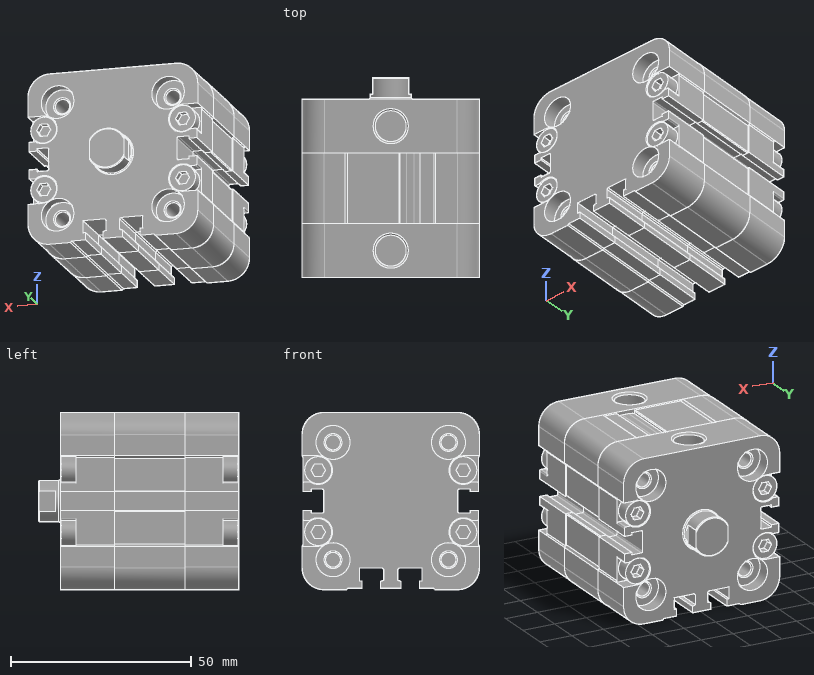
import cadquery as cq


width = 49.2
half = width / 2
cap_length = 15.0
barrel_length = 19.5
body_length = 2 * cap_length + barrel_length
cap_corner_radius = 6.3
barrel_corner_radius = 6.1
overshoot = 1.0

band_half_height = 12.57
cap_band_depth = 0.27
cap_band_slope = 0.45
barrel_band_depth = 0.6
barrel_band_slope = 0.7

slot_floor = 18.6
side_lip_inner = 22.0
side_mouth_half = 2.6
side_inner_half = 3.3
slot_corner_radius = 0.4
mouth_bevel = 0.25

bottom_relief_half = 12.3
bottom_relief_depth = 0.4
bottom_lip_inner = 22.1
bottom_mouth_near = 2.85
bottom_mouth_far = 7.9
bottom_inner_near = 1.95
bottom_inner_far = 8.65
rib_lip_bevel = 0.35

top_relief_depth = 0.4
top_relief_left = -12.0
top_relief_right = 12.0
top_relief_left_slope = 0.7
top_relief_right_slope = 0.45
groove_left = 2.6
groove_right = 8.15
groove_lip = 0.25
groove_crown_left = 4.4
groove_crown_right = 6.45
groove_crown_depth = 1.1
groove_edge_depth = 1.35
groove_mid_drop = 0.07

mount_x = 16.0
mount_z = 16.25
counterbore_diameter = 9.42
counterbore_depth = 4.35
mount_hole_diameter = 4.13
mount_chamfer_diameter = 4.92
mount_chamfer = (mount_chamfer_diameter - mount_hole_diameter) / 2

screw_x = 20.1
screw_z = 8.57
head_diameter = 7.5
head_setback = 0.25
head_clearance = 0.2
pocket_radius = head_diameter / 2 + head_clearance
pocket_depth = 4.4
ledge_z = 5.35
ledge_radius = 0.4
hex_across_flats = 3.5
hex_across_corners = hex_across_flats * 2 / 3 ** 0.5
hex_depth = 2.5

port_diameter = 8.57
port_chamfer_diameter = 9.73
port_chamfer = (port_chamfer_diameter - port_diameter) / 2
port_depth = 9.0

rod_diameter = 12.0
rod_end_diameter = 11.5
rod_projection = 6.0
rod_cone_length = 0.43
rod_tip_chamfer = 0.25
rod_flat_width = 10.0
rod_flat_length = 4.65


def along_y(start):
    """Sketch plane with local x = X and local y = Z; extrude by a negative length to go to +Y."""
    return cq.Workplane("XZ", origin=(0, start, 0))


def both_sides(shape):
    """The shape together with its mirror image across the plane X = 0."""
    return shape.union(shape.mirror("YZ"))


def four_corners(shape):
    """The shape repeated in all four quadrants of the XZ plane."""
    pair = both_sides(shape)
    return pair.union(pair.mirror("XY"))


def side_band(length, depth, slope):
    """Shallow cut along the -X side, with sloped edges."""
    outer = half + overshoot
    inner = half - depth
    points = [
        (-outer, band_half_height),
        (-half, band_half_height),
        (-inner, band_half_height - slope),
        (-inner, slope - band_half_height),
        (-half, -band_half_height),
        (-outer, -band_half_height),
    ]
    return along_y(0).polyline(points).close().extrude(-length)


def side_slot(length):
    """T-shaped sensor slot in the -X side."""
    mouth = along_y(0).center(-half, 0).rect(2 * (half - slot_floor), 2 * side_mouth_half).extrude(-length)
    inner_width = side_lip_inner - slot_floor
    inner = along_y(0).center(-(slot_floor + side_lip_inner) / 2, 0)
    inner = inner.rect(inner_width, 2 * side_inner_half).extrude(-length)
    inner = inner.edges("|Y and >X").fillet(slot_corner_radius)
    return mouth.union(inner)


def bottom_relief(length):
    """Shallow cut along the bottom, with 45 degree edges."""
    points = [
        (-bottom_relief_half - overshoot, -half - overshoot),
        (bottom_relief_half + overshoot, -half - overshoot),
        (bottom_relief_half - bottom_relief_depth, bottom_relief_depth - half),
        (bottom_relief_depth - bottom_relief_half, bottom_relief_depth - half),
    ]
    return along_y(0).polyline(points).close().extrude(-length)


def bottom_slot(length):
    """Sensor slot in the bottom on the +X side of the centre rib."""
    points = [
        (bottom_mouth_near, -half - overshoot),
        (bottom_mouth_near, -bottom_lip_inner - rib_lip_bevel / 2),
        (bottom_mouth_near - rib_lip_bevel, -bottom_lip_inner),
        (bottom_inner_near, rib_lip_bevel / 2 - bottom_lip_inner),
        (bottom_inner_near, -slot_floor - slot_corner_radius),
        (bottom_inner_near + slot_corner_radius, -slot_floor),
        (bottom_inner_far, -slot_floor),
        (bottom_inner_far, -bottom_lip_inner),
        (bottom_mouth_far, -bottom_lip_inner),
        (bottom_mouth_far, -half - overshoot),
    ]
    return along_y(0).polyline(points).close().extrude(-length)


def profile_block(length, corner_radius, band_depth, band_slope):
    """Rounded square bar with the side bands and all the sensor slots."""
    block = along_y(0).rect(width, width).extrude(-length).edges("|Y").fillet(corner_radius)
    block = block.cut(both_sides(side_band(length, band_depth, band_slope)))
    block = block.cut(both_sides(side_slot(length)))
    block = block.cut(bottom_relief(length))
    return block.cut(both_sides(bottom_slot(length)))


def mount_hole():
    """Counterbored hole through the cap in the +X +Z corner."""
    center = along_y(0).center(mount_x, mount_z)
    counterbore = center.circle(counterbore_diameter / 2).extrude(-counterbore_depth)
    bore = center.circle(mount_hole_diameter / 2).extrude(-cap_length)
    chamfer = cq.Solid.makeCone(
        mount_chamfer_diameter / 2,
        mount_hole_diameter / 2,
        mount_chamfer,
        cq.Vector(mount_x, counterbore_depth, mount_z),
        cq.Vector(0, 1, 0),
    )
    return counterbore.union(bore).union(cq.Workplane(chamfer))


def screw_pocket():
    """Recess for one screw head, open to the +X side, with a rounded outer edge on its ledge."""
    around_head = along_y(0).center(screw_x, screw_z).circle(pocket_radius).extrude(-pocket_depth)
    face_x = half - cap_band_depth
    outer_x = half + overshoot
    opening = (
        along_y(0)
        .moveTo(screw_x, ledge_z)
        .lineTo(face_x - ledge_radius, ledge_z)
        .radiusArc((face_x, ledge_z - ledge_radius), ledge_radius)
        .lineTo(outer_x, ledge_z - ledge_radius)
        .lineTo(outer_x, band_half_height)
        .lineTo(screw_x, band_half_height)
        .close()
        .extrude(-pocket_depth)
    )
    return around_head.union(opening)


def screw_head():
    """Round head with a hexagon socket, standing on the floor of its pocket."""
    center = along_y(head_setback).center(screw_x, screw_z)
    head = center.circle(head_diameter / 2).extrude(head_setback - pocket_depth)
    socket = center.polygon(6, hex_across_corners).extrude(-hex_depth)
    return head.cut(socket)


def air_port():
    """Chamfered blind port going down from the top face."""
    top = cq.Workplane("XY", origin=(0, cap_length / 2, half))
    bore = top.circle(port_diameter / 2).extrude(-port_depth)
    chamfer = cq.Solid.makeCone(
        port_chamfer_diameter / 2,
        port_diameter / 2,
        port_chamfer,
        cq.Vector(0, cap_length / 2, half),
        cq.Vector(0, 0, -1),
    )
    return bore.union(cq.Workplane(chamfer))


def make_cap():
    """End cap in the rear position, with its outer face at y = 0."""
    cap = profile_block(cap_length, cap_corner_radius, cap_band_depth, cap_band_slope)
    cap = cap.cut(four_corners(screw_pocket()))
    cap = cap.union(four_corners(screw_head()))
    cap = cap.cut(four_corners(mount_hole()))
    return cap.cut(air_port())


def top_relief():
    """Shallow cut with sloped edges along the top of the barrel."""
    floor = half - top_relief_depth
    points = [
        (top_relief_left - top_relief_left_slope, half),
        (top_relief_left, floor),
        (top_relief_right, floor),
        (top_relief_right + top_relief_right_slope, half),
    ]
    return along_y(0).polyline(points).close().extrude(-barrel_length)


def cable_groove():
    """Groove in the top of the barrel with a crowned floor and a bevelled left lip."""
    lip = half - top_relief_depth
    crown = half - groove_crown_depth
    edge = half - groove_edge_depth
    left_mid = (groove_left + groove_crown_left) / 2
    right_mid = (groove_right + groove_crown_right) / 2
    return (
        along_y(0)
        .moveTo(groove_left - groove_lip, half)
        .lineTo(groove_left - groove_lip, lip)
        .lineTo(groove_left, lip - groove_lip)
        .lineTo(groove_left, edge)
        .threePointArc((left_mid, crown - groove_mid_drop), (groove_crown_left, crown))
        .lineTo(groove_crown_right, crown)
        .threePointArc((right_mid, crown - groove_mid_drop), (groove_right, edge))
        .lineTo(groove_right, half)
        .close()
        .extrude(-barrel_length)
    )


def slot_mouth_bevel():
    """Bevel on both edges of the -X sensor slot mouth."""
    face = half - barrel_band_depth
    points = [
        (-face, side_mouth_half + mouth_bevel),
        (mouth_bevel - face, side_mouth_half),
        (mouth_bevel - face, -side_mouth_half),
        (-face, -side_mouth_half - mouth_bevel),
    ]
    return along_y(0).polyline(points).close().extrude(-barrel_length)


def make_barrel():
    """Barrel between the two caps."""
    barrel = profile_block(barrel_length, barrel_corner_radius, barrel_band_depth, barrel_band_slope)
    barrel = barrel.cut(both_sides(slot_mouth_bevel()))
    barrel = barrel.cut(top_relief()).cut(cable_groove())
    return barrel.translate((0, cap_length, 0))


def make_rod():
    """Rod through the front cap, tapering to a smaller end with two wrench flats."""
    tip = body_length + rod_projection
    start = body_length - cap_length
    shank = along_y(start).circle(rod_diameter / 2).extrude(start - body_length)
    end = along_y(body_length).circle(rod_end_diameter / 2).extrude(-rod_projection)
    end = end.faces(">Y").chamfer(rod_tip_chamfer)
    cone = cq.Solid.makeCone(
        rod_diameter / 2,
        rod_end_diameter / 2,
        rod_cone_length,
        cq.Vector(0, body_length, 0),
        cq.Vector(0, 1, 0),
    )
    rod = shank.union(cq.Workplane(cone)).union(end)
    beside_flat = along_y(tip).center(rod_flat_width / 2 + rod_diameter / 2, 0)
    beside_flat = beside_flat.rect(rod_diameter, rod_diameter).extrude(rod_flat_length)
    return rod.cut(both_sides(beside_flat))


def make_front_cap(cap):
    """Mirror image of the rear cap, with a hole for the rod."""
    front = cap.mirror("XZ").translate((0, body_length, 0))
    rod_hole = along_y(body_length - cap_length).circle(rod_diameter / 2).extrude(-cap_length)
    return front.cut(rod_hole)


rear_cap = make_cap()
front_cap = make_front_cap(rear_cap)
barrel = make_barrel()
rod = make_rod()

bodies = [rear_cap, barrel, front_cap, rod]
result = cq.Compound.makeCompound([solid for body in bodies for solid in body.solids().vals()])